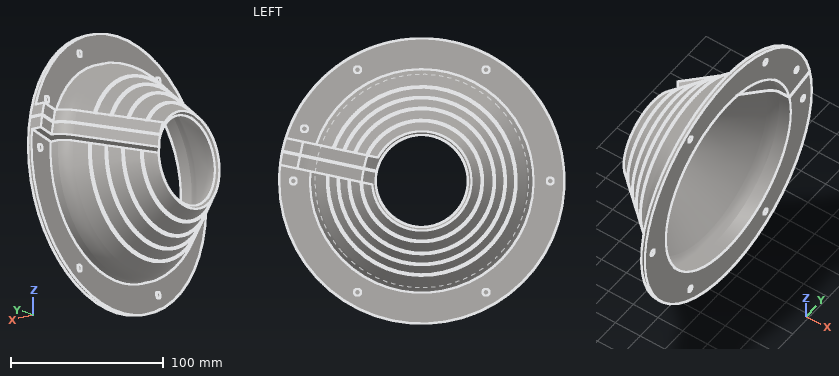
import cadquery as cq
import math

flange_radius = 93.5
flange_thickness = 3.0

collar_length = 9.4
shoulder_end_x = -18.3
shoulder_end_radius = 68.8
shoulder_radius = 20.5
tip_radius = 32.5
tip_x = -61.1
cone_slope = (shoulder_end_radius - tip_radius) / (shoulder_end_x - tip_x)
cone_angle = math.atan(cone_slope)
wall = 3.2

shoulder_centre_x = shoulder_end_x + shoulder_radius * math.sin(cone_angle)
shoulder_centre_r = shoulder_end_radius - shoulder_radius * math.cos(cone_angle)

groove_positions = (-26.5, -34.8, -43.2, -52.5)
groove_width = 0.7
groove_depth = 0.4

rib_angle = 12.0
rib_width = 18.0
rib_height = 8.2
pad_height = 10.3
slit_width = 0.7
skin = 0.4

hole_diameter = 4.5
hole_circle_radius = 84.2
hole_count = 6


def shell_points(offset):
    """Shoulder start, middle and end, and cone tip, moved outward by offset."""
    radius = shoulder_radius + offset
    start_angle = math.asin((shoulder_centre_x + collar_length) / radius)

    def on_shoulder(angle):
        return (
            shoulder_centre_x - radius * math.sin(angle),
            shoulder_centre_r + radius * math.cos(angle),
        )

    start = on_shoulder(start_angle)
    middle = on_shoulder((start_angle + cone_angle) / 2)
    end = on_shoulder(cone_angle)
    tip = (tip_x - offset * math.sin(cone_angle), tip_radius + offset * math.cos(cone_angle))
    return start, middle, end, tip


def cone_radius(x):
    """Outer cone radius at a given X."""
    return tip_radius + cone_slope * (x - tip_x)


def revolve_about_x(profile):
    return profile.close().revolve(360, (0, 0, 0), (1, 0, 0))


def solid_of_shell(offset):
    """Filled body under the shell surface, ending at the flat tip plane."""
    start, middle, end, _ = shell_points(offset)
    tip_r = tip_radius + offset / math.cos(cone_angle)
    profile = (
        cq.Workplane("XY")
        .moveTo(0, 0)
        .lineTo(0, start[1])
        .lineTo(*start)
        .threePointArc(middle, end)
        .lineTo(tip_x, tip_r)
        .lineTo(tip_x, 0)
    )
    return revolve_about_x(profile)


def make_groove(x):
    """Ring that cuts a shallow groove centred at X = x."""
    left = x - groove_width / 2
    right = x + groove_width / 2
    profile = cq.Workplane("XY").polyline([
        (left, cone_radius(left) - groove_depth),
        (right, cone_radius(right) - groove_depth),
        (right, cone_radius(right) + groove_depth),
        (left, cone_radius(left) + groove_depth),
    ])
    return revolve_about_x(profile)


def make_rib():
    """Radial rib along the cone with a taller pad on the flange."""
    start, middle, end, tip = shell_points(rib_height)
    overrun_x = tip[0] - rib_height
    overrun_y = tip[1] - rib_height * cone_slope
    rib = (
        cq.Workplane("XY")
        .moveTo(0, 0)
        .lineTo(0, start[1])
        .lineTo(*start)
        .threePointArc(middle, end)
        .lineTo(overrun_x, overrun_y)
        .lineTo(overrun_x, 0)
        .close()
        .extrude(rib_width / 2, both=True)
    )
    pad = cq.Workplane("XY").box(pad_height, flange_radius, rib_width, centered=(False, False, True))
    pad = pad.translate((-pad_height, 0, 0))
    flange_outline = cq.Workplane("YZ").circle(flange_radius).extrude(2 * tip_x)
    return rib.union(pad).intersect(flange_outline).rotate((0, 0, 0), (1, 0, 0), rib_angle)


def make_slit():
    """Thin radial cut along the middle of the rib, stopping at the inner skin."""
    slit_length = -2 * tip_x
    slit = cq.Workplane("XY").box(
        slit_length, 2 * flange_radius, slit_width, centered=(False, False, True)
    )
    slit = slit.translate((-skin - slit_length, 0, 0))
    return slit.rotate((0, 0, 0), (1, 0, 0), rib_angle).cut(solid_of_shell(skin - wall))


def make_tip_trim():
    """Cone that trims the shell and rib ends square to the cone surface."""
    def end_face_x(radius):
        return tip_x - (radius - tip_radius) * cone_slope

    profile = cq.Workplane("XY").polyline([
        (end_face_x(0), 0),
        (end_face_x(flange_radius), flange_radius),
        (end_face_x(flange_radius), 0),
    ])
    return revolve_about_x(profile)


def make_holes():
    """Evenly spaced blind holes, plus one mirroring the first across the rib."""
    angles = [i * 360 / hole_count for i in range(hole_count)] + [2 * rib_angle]
    centres = [
        (
            hole_circle_radius * math.cos(math.radians(a)),
            hole_circle_radius * math.sin(math.radians(a)),
        )
        for a in angles
    ]
    return (
        cq.Workplane("YZ")
        .pushPoints(centres)
        .circle(hole_diameter / 2)
        .extrude(skin - flange_thickness)
        .translate((-skin, 0, 0))
    )


flange = cq.Workplane("YZ").circle(flange_radius).extrude(-flange_thickness)
outer_body = solid_of_shell(0)
for groove_x in groove_positions:
    outer_body = outer_body.cut(make_groove(groove_x))

result = (
    flange.union(outer_body)
    .union(make_rib().cut(solid_of_shell(-wall)))
    .cut(solid_of_shell(-wall))
    .cut(make_tip_trim())
    .cut(make_holes())
    .cut(make_slit())
)